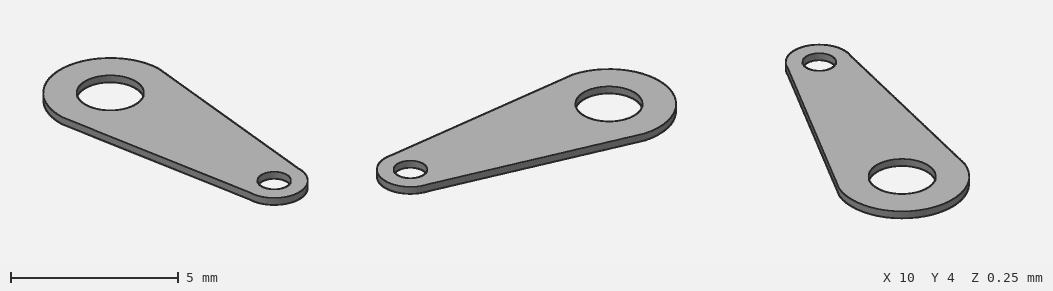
import cadquery as cq

thickness = 0.25
large_end_radius = 2.0
small_end_radius = 1.0
large_hole_diameter = 2.0
small_hole_diameter = 1.0
overall_length = 10.0

center_distance = overall_length - large_end_radius - small_end_radius

link = (
    cq.Workplane("XY")
    .moveTo(0, large_end_radius)
    .lineTo(center_distance, small_end_radius)
    .threePointArc((center_distance + small_end_radius, 0), (center_distance, -small_end_radius))
    .lineTo(0, -large_end_radius)
    .threePointArc((-large_end_radius, 0), (0, large_end_radius))
    .close()
    .extrude(thickness)
)


def through_hole(x, diameter):
    """Cutter for a hole through the link, centred on its long axis."""
    return cq.Workplane("XY").center(x, 0).circle(diameter / 2).extrude(thickness)


result = link.cut(through_hole(0, large_hole_diameter))
result = result.cut(through_hole(center_distance, small_hole_diameter))